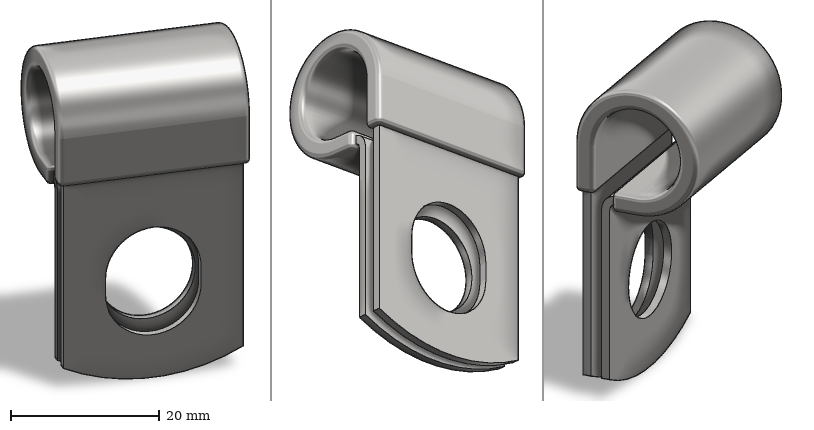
import cadquery as cq
import math


loop_inner_radius = 6.35
sleeve_thickness = 2.805
sleeve_width = 26.99
sleeve_fillet = 0.7
sleeve_vertical_run = 7.15
sleeve_horizontal_run = 3.67

strap_thickness = 1.2
strap_width = 25.4
leg_gap = 1.6
bend_inner_radius = 1.0
leg_bottom_z = -37.285
leg_end_sagitta = 3.0
hole_diameter = 13.5
hole_z = -23.0
slot_straight_length = 2.4

mid_radius = loop_inner_radius + sleeve_thickness / 2
bend_mid_radius = bend_inner_radius + strap_thickness / 2
back_leg_x = mid_radius
front_leg_x = back_leg_x - strap_thickness - leg_gap
bend_start_x = front_leg_x - bend_mid_radius
leg_corner_z = leg_bottom_z + leg_end_sagitta
diagonal = math.sqrt(0.5)


def loop_band(thickness, width, vertical_run, horizontal_run):
    """Three-quarter loop with a straight run at each end, centred on the XZ plane."""
    outer = mid_radius + thickness / 2
    inner = mid_radius - thickness / 2
    return (
        cq.Workplane("XZ")
        .moveTo(outer, -vertical_run)
        .lineTo(outer, 0)
        .threePointArc((-outer * diagonal, outer * diagonal), (0, -outer))
        .lineTo(horizontal_run, -outer)
        .lineTo(horizontal_run, -inner)
        .lineTo(0, -inner)
        .threePointArc((-inner * diagonal, inner * diagonal), (inner, 0))
        .lineTo(inner, -vertical_run)
        .close()
        .extrude(width / 2, both=True)
    )


def make_sleeve():
    """Cushion sleeve, rounded around both side faces and both free ends."""
    sleeve = loop_band(sleeve_thickness, sleeve_width, sleeve_vertical_run, sleeve_horizontal_run)
    bottom_end = cq.selectors.NearestToPointSelector((back_leg_x, 0, -sleeve_vertical_run))
    front_end = cq.selectors.NearestToPointSelector((sleeve_horizontal_run, 0, -mid_radius))
    side_faces = cq.selectors.StringSyntaxSelector("|Y")
    return sleeve.faces(side_faces + bottom_end + front_end).edges().fillet(sleeve_fillet)


def make_front_bend():
    """Quarter bend that turns the strap from the loop down into the front leg."""
    center_z = -mid_radius - bend_mid_radius
    outer = bend_mid_radius + strap_thickness / 2
    inner = bend_inner_radius
    return (
        cq.Workplane("XZ")
        .moveTo(bend_start_x, center_z + outer)
        .threePointArc(
            (bend_start_x + outer * diagonal, center_z + outer * diagonal),
            (bend_start_x + outer, center_z),
        )
        .lineTo(bend_start_x + inner, center_z)
        .threePointArc(
            (bend_start_x + inner * diagonal, center_z + inner * diagonal),
            (bend_start_x, center_z + inner),
        )
        .close()
        .extrude(strap_width / 2, both=True)
    )


def make_leg_plate(center_x, top_z):
    """Flat mounting leg with an arched lower end."""
    half_width = strap_width / 2
    return (
        cq.Workplane("YZ", origin=(center_x, 0, 0))
        .moveTo(-half_width, top_z)
        .lineTo(-half_width, leg_corner_z)
        .threePointArc((0, leg_bottom_z), (half_width, leg_corner_z))
        .lineTo(half_width, top_z)
        .close()
        .extrude(strap_thickness / 2, both=True)
    )


def make_front_leg():
    """Leg below the bend, with a round bolt hole."""
    hole = (
        cq.Workplane("YZ", origin=(front_leg_x, 0, hole_z))
        .circle(hole_diameter / 2)
        .extrude(strap_thickness, both=True)
    )
    return make_leg_plate(front_leg_x, -mid_radius - bend_mid_radius).cut(hole)


def make_back_leg():
    """Straight leg, with the bolt hole stretched vertically into a slot."""
    slot = (
        cq.Workplane("YZ", origin=(back_leg_x, 0, hole_z))
        .slot2D(hole_diameter + slot_straight_length, hole_diameter, angle=90)
        .extrude(strap_thickness, both=True)
    )
    return make_leg_plate(back_leg_x, -sleeve_vertical_run).cut(slot)


strap_loop = loop_band(strap_thickness, strap_width, sleeve_vertical_run, bend_start_x)
strap = strap_loop.union(make_front_bend()).union(make_front_leg()).union(make_back_leg())

result = make_sleeve().union(strap)